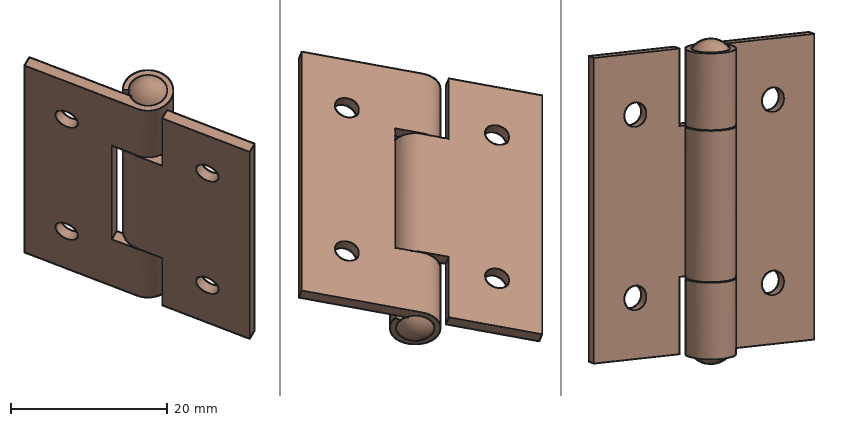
import cadquery as cq
import math

hinge_width = 32.0
hinge_height = 42.5
leaf_height = 40.0
barrel_diameter = 6.5
barrel_radius = barrel_diameter / 2
leaf_thickness = 1.5

head_height = (hinge_height - leaf_height) / 2
head_radius = 2.45
pin_radius = 1.55

bore_radius = barrel_radius - leaf_thickness
leaf_width = hinge_width / 2
notch_height = leaf_height / 2
axial_gap = 0.13
tongue_height = notch_height - 2 * axial_gap
notch_reach = 3.55
curl_end_angle = 23.5

hole_diameter = 3.2
hole_offset = 10.0
hole_spacing = 23.95


def polar(radius, degrees):
    angle = math.radians(degrees)
    return radius * math.cos(angle), radius * math.sin(angle)


def leaf_blank():
    """Plate towards -X, rolled anticlockwise round the pin into an open curl."""
    end_angle = 180 + curl_end_angle
    middle_angle = (end_angle - 90) / 2
    return (
        cq.Workplane("XY", origin=(0, 0, -leaf_height / 2))
        .moveTo(-leaf_width, -barrel_radius)
        .lineTo(0, -barrel_radius)
        .threePointArc(polar(barrel_radius, middle_angle), polar(barrel_radius, end_angle))
        .lineTo(*polar(bore_radius, end_angle))
        .threePointArc(polar(bore_radius, middle_angle), (0, -bore_radius))
        .lineTo(-leaf_width, -bore_radius)
        .close()
        .extrude(leaf_height)
    )


def notch_block(bottom, top):
    """Clearance for the other leaf's knuckle between two heights."""
    side = 2 * notch_reach
    return (
        cq.Workplane("XY", origin=(0, 0, bottom))
        .rect(side, side)
        .extrude(top - bottom)
    )


def screw_holes():
    return (
        cq.Workplane("XZ", origin=(-hole_offset, 0, 0))
        .rarray(0.42, hole_spacing, 1, 2)
        .circle(hole_diameter / 2)
        .extrude(barrel_radius)
    )


def outer_knuckle_leaf():
    """Leaf towards -X, with a knuckle at each end and a notch between them."""
    notch = notch_block(-notch_height / 2, notch_height / 2)
    return leaf_blank().cut(notch).cut(screw_holes())


def middle_knuckle_leaf():
    """Leaf towards +X, with one knuckle between two corner notches."""
    leaf = leaf_blank().cut(screw_holes())
    upper_notch = notch_block(tongue_height / 2, leaf_height / 2)
    for notch in (upper_notch, upper_notch.mirror("XY")):
        leaf = leaf.cut(notch)
    return leaf.mirror("YZ")


def hinge_pin():
    """Revolved half profile: a straight shank between two spherical caps."""
    cap_radius = (head_radius**2 + head_height**2) / (2 * head_height)
    cap_half_angle = math.asin(head_radius / cap_radius) / 2
    shoulder = leaf_height / 2
    tip = hinge_height / 2
    arc_x = cap_radius * math.sin(cap_half_angle)
    arc_z = tip - cap_radius * (1 - math.cos(cap_half_angle))
    return (
        cq.Workplane("XZ")
        .moveTo(0, -tip)
        .threePointArc((arc_x, -arc_z), (head_radius, -shoulder))
        .lineTo(pin_radius, -shoulder)
        .lineTo(pin_radius, shoulder)
        .lineTo(head_radius, shoulder)
        .threePointArc((arc_x, arc_z), (0, tip))
        .close()
        .revolve(360, (0, 0, 0), (0, 1, 0))
    )


left_leaf = outer_knuckle_leaf()
right_leaf = middle_knuckle_leaf()
pin = hinge_pin()

result = cq.Compound.makeCompound([left_leaf.val(), right_leaf.val(), pin.val()])